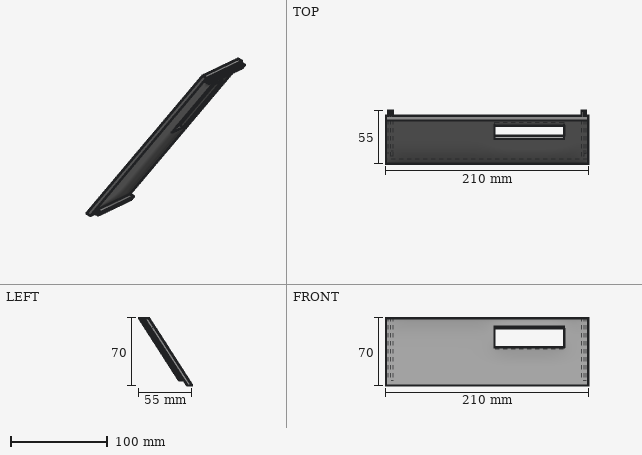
import cadquery as cq
import math

width = 210.0
depth = 55.0
height = 70.0

panel_depth = 5.0

rail_depth = 5.0
rail_width = 5.0
rail_wall = 2.5
rail_inset = 2.3
rail_bottom = 5.0

window_left = 112.8
window_right = 184.8
window_bottom = 40.0
window_top = 61.3

slope_run = depth - panel_depth - rail_depth
slope = slope_run / height
slope_angle = math.degrees(math.atan2(height, slope_run))


def sloped_prism(x_start, x_end, y_start, y_end, z_start=0.0):
    """Bar leaning back; y_start and y_end are its Y limits extended down to Z = 0."""
    lean_start = slope * z_start
    return (
        cq.Workplane("YZ", origin=(x_start, 0, 0))
        .moveTo(y_start + lean_start, z_start)
        .lineTo(y_end + lean_start, z_start)
        .lineTo(y_end + slope_run, height)
        .lineTo(y_start + slope_run, height)
        .close()
        .extrude(x_end - x_start)
    )


def rail():
    """Left rail: an L section with its lip pointing to the nearer end of the panel."""
    outer_x = rail_inset
    inner_x = rail_inset + rail_width
    back_y = panel_depth + rail_depth
    web = sloped_prism(inner_x - rail_wall, inner_x, panel_depth, back_y, rail_bottom)
    lip = sloped_prism(outer_x, inner_x, back_y - rail_wall, back_y, rail_bottom)
    return web.union(lip)


def window_cutter():
    """Box passing through the panel at right angles to its face."""
    middle_x = (window_left + window_right) / 2
    middle_z = (window_bottom + window_top) / 2
    length_on_slope = (window_top - window_bottom) / math.sin(math.radians(slope_angle))
    cutter_depth = 4 * panel_depth
    return (
        cq.Workplane("XY")
        .box(window_right - window_left, length_on_slope, cutter_depth)
        .rotate((0, 0, 0), (1, 0, 0), slope_angle)
        .translate((middle_x, slope * middle_z, middle_z))
    )


panel = sloped_prism(0, width, 0, panel_depth).cut(window_cutter())
left_rail = rail()
right_rail = left_rail.mirror("YZ", (width / 2, 0, 0))

result = panel.union(left_rail).union(right_rail)